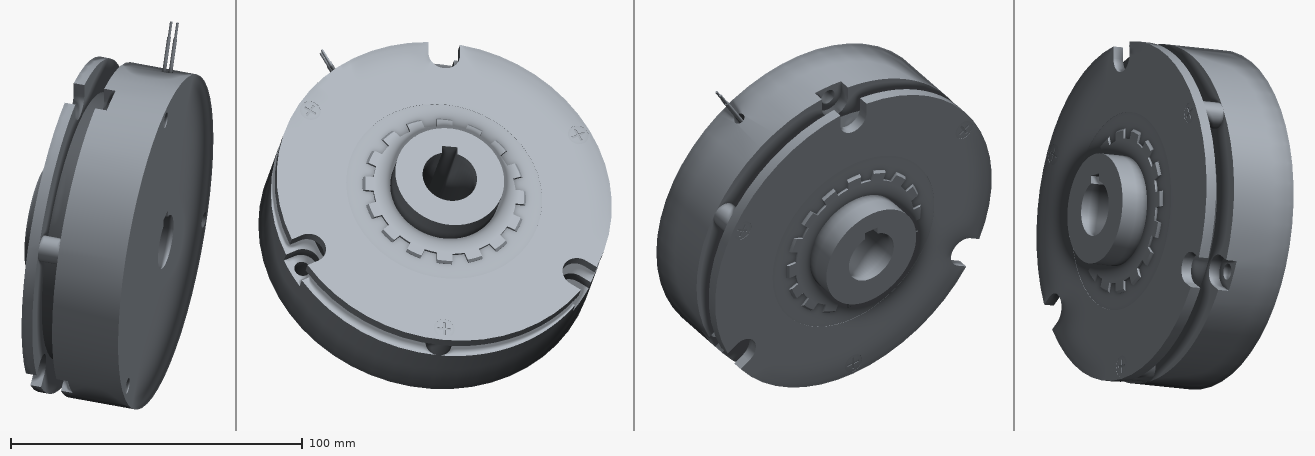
import cadquery as cq


toothed_face_x = 9.7
flange_x = 10.5
gap_x = 14.3
plate_x = 21.4
housing_x = 25.5
rear_x = 45.0

body_radius = 58.5
rotor_radius = 46.8
fine_step = 0.1

hub_radius = 19.0
bore_radius = 9.5
keyway_width = 5.4
keyway_height = 11.8

tooth_count = 16
tooth_width = 5.4
tooth_tip_radius = 28.5
tooth_root_radius = 24.9
tooth_chamfer = flange_x - toothed_face_x
rotor_window_radius = 34.2

bolt_circle_radius = 54.0
mounting_angles = (90, 210, 330)
spacer_angles = (30, 150, 270)
mounting_hole_radius = 2.75
notch_radius = 5.5
spacer_radius = body_radius - bolt_circle_radius

screw_head_radius = 3.6
cross_length = 4.8
cross_width = 0.8
cross_depth = 0.3

wire_angle = 60
wire_x = 37.05
wire_spacing = 2.25
wire_exit_radius = 2.0
wire_exit_floor = 53.0
insulation_radius = 0.65
insulation_end = 70.5
conductor_radius = 0.45
conductor_end = 76.0


def disc(radius, x_start, x_end, y=0.0):
    """Cylinder parallel to the shaft axis."""
    plane = cq.Workplane("YZ", origin=(x_start, y, 0))
    return plane.circle(radius).extrude(x_end - x_start)


def block(y_min, y_max, width, x_start, x_end):
    """Box lying along +Y, centred on Z = 0."""
    size = (x_end - x_start, y_max - y_min, width)
    centre = ((x_start + x_end) / 2, (y_min + y_max) / 2, 0)
    return cq.Workplane("XY").box(*size).translate(centre)


def turned(shape, angle):
    """Shape rotated about the shaft axis, from +Y toward +Z."""
    return shape.rotate((0, 0, 0), (1, 0, 0), angle)


def make_body():
    body = disc(body_radius, flange_x, gap_x)
    body = body.union(disc(rotor_radius, gap_x, plate_x))
    body = body.union(disc(body_radius, plate_x, rear_x))
    for angle in spacer_angles:
        spacer = disc(spacer_radius, gap_x, plate_x, y=bolt_circle_radius)
        body = body.union(turned(spacer, angle))
    return body.cut(disc(rotor_window_radius, flange_x, flange_x + fine_step))


def make_hub():
    """Hub sleeve and the toothed rim behind it, with chamfered tooth tips."""
    rim_end = flange_x + fine_step
    rim = disc(tooth_root_radius, toothed_face_x, rim_end)
    for index in range(tooth_count):
        tooth = block(0, tooth_tip_radius + tooth_chamfer, tooth_width, toothed_face_x, rim_end)
        rim = rim.union(turned(tooth, index * 360 / tooth_count))
    envelope = disc(tooth_tip_radius, toothed_face_x, rim_end).faces("<X").chamfer(tooth_chamfer)
    return rim.intersect(envelope).union(disc(hub_radius, 0, toothed_face_x))


def make_bore():
    keyway = turned(block(0, keyway_height, keyway_width, 0, rear_x), 90)
    return disc(bore_radius, 0, rear_x).union(keyway)


def make_notch(x_start, x_end):
    """U-shaped notch around a mounting hole, open at the rim."""
    round_end = disc(notch_radius, x_start, x_end, y=bolt_circle_radius)
    mouth = block(bolt_circle_radius, body_radius + notch_radius, 2 * notch_radius, x_start, x_end)
    return round_end.union(mouth)


def cut_mountings(body):
    hole = disc(mounting_hole_radius, housing_x, rear_x, y=bolt_circle_radius)
    cutter = hole.union(make_notch(flange_x, gap_x)).union(make_notch(plate_x, housing_x))
    for angle in mounting_angles:
        body = body.cut(turned(cutter, angle))
    return body


def cut_screws(body):
    """Screw heads sunk just below the flange face, each with a cross recess."""
    head = disc(screw_head_radius, flange_x, flange_x + fine_step, y=bolt_circle_radius)
    centre_plane = cq.Workplane("YZ", origin=(flange_x, bolt_circle_radius, 0))
    radial_slot = centre_plane.rect(cross_length, cross_width).extrude(cross_depth)
    cross_slot = centre_plane.rect(cross_width, cross_length).extrude(cross_depth)
    cutter = head.union(radial_slot).union(cross_slot)
    for angle in spacer_angles:
        body = body.cut(turned(cutter, angle))
    return body


def radial_rod(radius, start, end, x):
    """Cylinder pointing away from the shaft axis at the wire angle."""
    rod = cq.Workplane("XZ", origin=(x, start, 0)).circle(radius).extrude(start - end)
    return turned(rod, wire_angle)


def add_wires(body):
    body = body.cut(radial_rod(wire_exit_radius, wire_exit_floor, body_radius + wire_exit_radius, wire_x))
    for side in (-1, 1):
        x = wire_x + side * wire_spacing / 2
        insulation = radial_rod(insulation_radius, wire_exit_floor - insulation_radius, insulation_end, x)
        conductor = radial_rod(conductor_radius, insulation_end - conductor_radius, conductor_end, x)
        body = body.union(insulation.union(conductor))
    return body


brake = make_body().union(make_hub())
brake = brake.cut(make_bore())
brake = cut_mountings(brake)
brake = cut_screws(brake)
result = add_wires(brake)